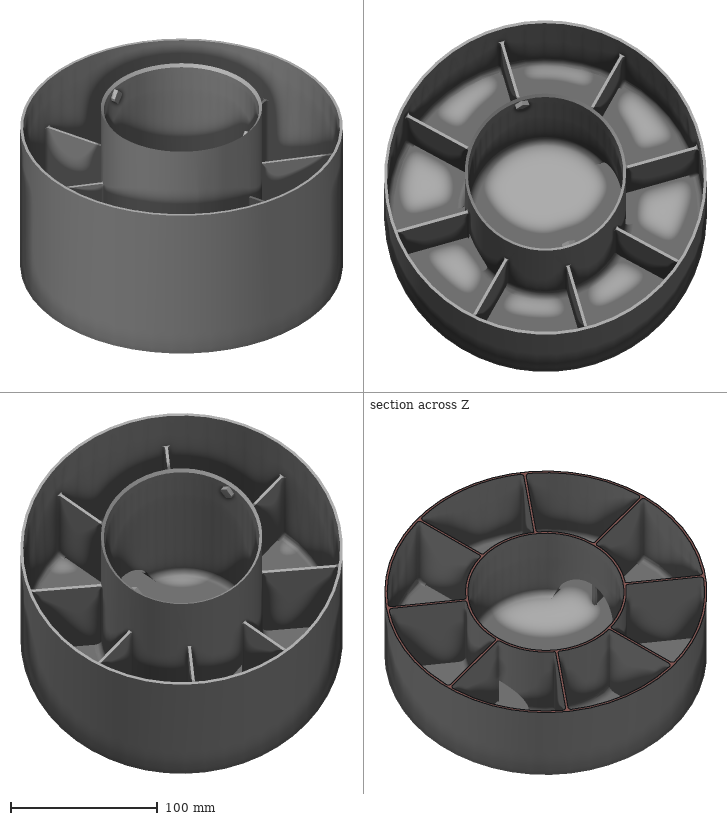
import cadquery as cq
import math

cup_radius = 110.0
cup_height = 112.5
wall = 2.0
floor_thickness = wall
cup_inner_radius = cup_radius - wall

tube_radius = 55.0
tube_height = 128.5
tube_inner_radius = tube_radius - wall

cup_floor_fillet = 4.2
tube_floor_fillet = 5.0

arch_radius = 23.5
arch_offset_x = 1.3

rib_count = 8
rib_start_angle = -2.0
rib_thickness = wall
rib_top = 75.0
rib_outer_fillet = 2.2
rib_inner_fillet = 1.0
rib_foot_length = 6.4

lug_width = 9.2
lug_height = 11.2
lug_side_height = 2.0
lug_protrusion = 3.0
lug_center_z = 120.3
lug_tip_radius = tube_inner_radius - lug_protrusion

mid_wall = wall / 2
mid_cup_radius = cup_radius - mid_wall
mid_tube_radius = tube_radius - mid_wall


def ring(outer_radius, inner_radius, bottom, top):
    """Upright ring around the Z axis."""
    base = cq.Workplane("XY").workplane(offset=bottom)
    return base.circle(outer_radius).circle(inner_radius).extrude(top - bottom)


def fillet_corner(plane, corner_x, corner_y, side_x, side_y, radius):
    """Sketch of the material that a concave fillet adds to a square corner.

    side_x and side_y (+1 or -1) point from the corner into the open space.
    """
    arc_inset = radius * (1 - math.sqrt(0.5))
    return (
        cq.Workplane(plane)
        .moveTo(corner_x, corner_y)
        .lineTo(corner_x + side_x * radius, corner_y)
        .threePointArc(
            (corner_x + side_x * arc_inset, corner_y + side_y * arc_inset),
            (corner_x, corner_y + side_y * radius),
        )
        .close()
    )


def floor_fillet_ring(wall_radius, side, radius):
    """Concave fillet between the floor and a round wall; side +1 is outside the wall."""
    corner = fillet_corner("XZ", wall_radius, floor_thickness, side, 1, radius)
    return corner.revolve(360, (0, 0, 0), (0, 1, 0))


def make_cup():
    floor = cq.Workplane("XY").circle(cup_radius).extrude(floor_thickness)
    cup_wall = ring(cup_radius, cup_inner_radius, 0, cup_height)
    return floor.union(cup_wall).union(floor_fillet_ring(cup_inner_radius, -1, cup_floor_fillet))


def make_tube():
    """Central tube with its floor fillets, pierced by the arched passages.

    The rim is beveled at 45 degrees from the bore to the outer edge.
    """
    tube = ring(tube_radius, tube_inner_radius, 0, tube_height)
    tube = tube.union(floor_fillet_ring(tube_radius, 1, tube_floor_fillet))
    tube = tube.union(floor_fillet_ring(tube_inner_radius, -1, tube_floor_fillet))
    rim_bevel = (
        cq.Workplane("XZ")
        .moveTo(tube_inner_radius, tube_height - wall)
        .lineTo(tube_radius, tube_height)
        .lineTo(tube_inner_radius, tube_height)
        .close()
        .revolve(360, (0, 0, 0), (0, 1, 0))
    )
    passage = (
        cq.Workplane("XZ")
        .center(arch_offset_x, 0)
        .circle(arch_radius)
        .extrude(tube_radius + tube_floor_fillet, both=True)
    )
    return tube.cut(passage).cut(rim_bevel)


def make_rib():
    """Rib along +X with fillets along both ends.

    The fillets at the cup wall run down the wall, around its floor fillet and a short way along the floor.
    """
    half = rib_thickness / 2
    bend_inset = cup_floor_fillet * (1 - math.sqrt(0.5))
    fillet_path = (
        cq.Workplane("XZ")
        .moveTo(cup_inner_radius, rib_top)
        .lineTo(cup_inner_radius, floor_thickness + cup_floor_fillet)
        .threePointArc(
            (cup_inner_radius - bend_inset, floor_thickness + bend_inset),
            (cup_inner_radius - cup_floor_fillet, floor_thickness),
        )
        .lineTo(cup_inner_radius - rib_foot_length, floor_thickness)
    )
    rib = (
        cq.Workplane("XY")
        .box(mid_cup_radius - mid_tube_radius, rib_thickness, rib_top, centered=(False, True, False))
        .translate((mid_tube_radius, 0, 0))
    )
    top_plane = cq.Plane(origin=(0, 0, rib_top))
    outer = fillet_corner(top_plane, cup_inner_radius, -half, -1, -1, rib_outer_fillet).sweep(fillet_path)
    inner = fillet_corner("XY", tube_radius, -half, 1, -1, rib_inner_fillet).extrude(rib_top)
    for fillet in (outer, inner):
        rib = rib.union(fillet).union(fillet.mirror("XZ"))
    return rib


def make_lugs():
    """Pair of six-sided lugs, pointed at top and bottom, on the +X and -X sides of the tube bore."""
    half_width = lug_width / 2
    half_side = lug_side_height / 2
    half_height = lug_height / 2
    lug_bar = (
        cq.Workplane("YZ")
        .center(0, lug_center_z)
        .polyline(
            [
                (0, half_height),
                (half_width, half_side),
                (half_width, -half_side),
                (0, -half_height),
                (-half_width, -half_side),
                (-half_width, half_side),
            ]
        )
        .close()
        .extrude(mid_tube_radius, both=True)
    )
    return lug_bar.intersect(ring(mid_tube_radius, lug_tip_radius, 0, tube_height))


result = make_cup().union(make_tube())
rib = make_rib()
for index in range(rib_count):
    angle = rib_start_angle + index * 360 / rib_count
    result = result.union(rib.rotate((0, 0, 0), (0, 0, 1), angle))
result = result.union(make_lugs())